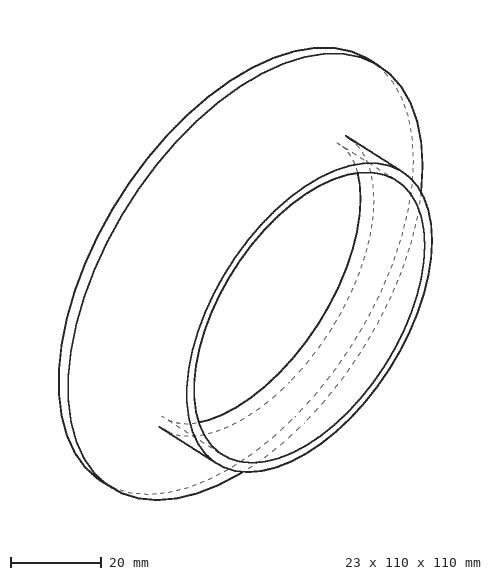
import cadquery as cq

flange_diameter = 110.0
tube_outer_diameter = 76.1
bore_diameter = 71.5
total_length = 23.0
flange_thickness = 3.0
mouth_radius = 5.0
neck_radius = 3.0

smallest_circle = cq.selectors.RadiusNthSelector(0)

flange = cq.Workplane("YZ").circle(flange_diameter / 2).extrude(flange_thickness)
collar = flange.faces(">X").workplane().circle(tube_outer_diameter / 2).extrude(total_length - flange_thickness)

flange_back = collar.faces("<X[1]")
collar = flange_back.edges(smallest_circle).fillet(neck_radius)

collar = collar.faces("<X").workplane().hole(bore_diameter)
result = collar.faces("<X").edges(smallest_circle).fillet(mouth_radius)